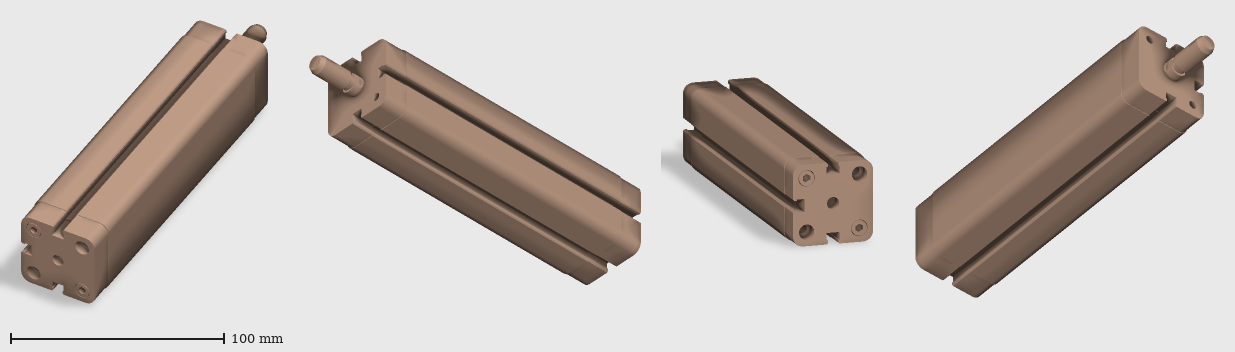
import cadquery as cq


width = 40.1
total_length = 192.0
rod_length = 27.3
body_length = total_length - rod_length
cap_length = 12.9
profile_length = body_length - 2 * cap_length
rear_cap_start = body_length - cap_length
cap_width = 39.5
cap_corner_radius = 5.0
profile_corner_radius = 4.8

slot_mouth = 5.2
mouth_chamfer = 0.5
slot_width = 6.3
slot_lip = 2.0
slot_floor = 14.8
cap_slot_floor = 14.2

corner_offset = 13.0
hole_diameter = 4.2
counterbore_diameter = 7.5
counterbore_depth = 6.0
screw_pocket_diameter = 8.0
screw_head_diameter = 7.5
screw_pocket_depth = 4.2
socket_corner_diameter = 4.2
socket_depth = 2.3
socket_turn = 90
centre_hole_diameter = 6.0
centre_hole_depth = 6.0

rod_diameter = 10.0
neck_diameter = 7.9
collar_length = 5.2
neck_length = 3.3
tip_chamfer_length = 2.5
tip_chamfer_height = 1.2
flat_length = 3.8


def front_plane(y):
    """XZ plane at the given Y whose extrusions run towards +Y."""
    return cq.Workplane(cq.Plane(origin=(0, y, 0), xDir=(-1, 0, 0), normal=(0, 1, 0)))


def cylinder(x, z, diameter, y, length):
    return front_plane(y).center(-x, z).circle(diameter / 2).extrude(length)


def bar(y, length, side, corner_radius):
    block = front_plane(y).rect(side, side).extrude(length)
    return block.edges("|Y").fillet(corner_radius)


def make_body():
    """Extruded profile between two caps that are slightly narrower."""
    body = bar(cap_length, profile_length, width, profile_corner_radius)
    body = body.union(bar(0, cap_length, cap_width, cap_corner_radius))
    return body.union(bar(rear_cap_start, cap_length, cap_width, cap_corner_radius))


def make_top_slot(y, length, face, floor):
    """T-shaped sensor slot in a +Z face, with chamfered mouth edges."""
    lip_end = face - slot_lip
    half_mouth = slot_mouth / 2
    half_width = slot_width / 2
    half_outline = [
        (half_mouth + mouth_chamfer, face),
        (half_mouth, face - mouth_chamfer),
        (half_mouth, lip_end),
        (half_width, lip_end),
        (half_width, floor),
    ]
    mirrored = [(-x, z) for x, z in reversed(half_outline)]
    return front_plane(y).polyline(half_outline + mirrored).close().extrude(length)


def make_screw(x, z):
    """Socket screw head, flush with the front face."""
    head = cylinder(x, z, screw_head_diameter, 0, screw_pocket_depth)
    socket = front_plane(0).polygon(6, socket_corner_diameter).extrude(socket_depth)
    socket = socket.rotate((0, 0, 0), (0, 1, 0), socket_turn).translate((x, 0, z))
    return head.cut(socket)


def make_rod():
    """Turned rod with a chamfered tip, a neck and two wrench flats on the collar."""
    rod_radius = rod_diameter / 2
    neck_radius = neck_diameter / 2
    neck_start = body_length + collar_length
    neck_end = neck_start + neck_length
    tip_start = total_length - tip_chamfer_length
    rod = (
        cq.Workplane("XY")
        .moveTo(0, body_length)
        .lineTo(rod_radius, body_length)
        .lineTo(rod_radius, neck_start)
        .lineTo(neck_radius, neck_start)
        .lineTo(neck_radius, neck_end)
        .lineTo(rod_radius, neck_end)
        .lineTo(rod_radius, tip_start)
        .lineTo(rod_radius - tip_chamfer_height, total_length)
        .lineTo(0, total_length)
        .close()
        .revolve(360, (0, 0, 0), (0, 1, 0))
    )
    flat_start = neck_start - flat_length
    runout = rod_radius - neck_radius
    flat_cut = (
        cq.Workplane("XY")
        .moveTo(neck_radius, neck_start)
        .lineTo(neck_radius, flat_start)
        .lineTo(neck_radius + runout, flat_start - runout)
        .lineTo(neck_radius + runout, neck_start)
        .close()
        .extrude(rod_radius, both=True)
    )
    return rod.cut(flat_cut).cut(flat_cut.mirror("YZ"))


result = make_body()

slot_sections = [
    make_top_slot(0, cap_length, cap_width / 2, cap_slot_floor),
    make_top_slot(cap_length, profile_length, width / 2, slot_floor),
    make_top_slot(rear_cap_start, cap_length, cap_width / 2, cap_slot_floor),
]
for turn in (0, -90, 180):
    for slot in slot_sections:
        result = result.cut(slot.rotate((0, 0, 0), (0, 1, 0), turn))

for side in (1, -1):
    position = side * corner_offset
    result = result.cut(cylinder(position, position, hole_diameter, 0, body_length))
    result = result.cut(cylinder(position, position, counterbore_diameter, 0, counterbore_depth))
    result = result.cut(cylinder(position, -position, screw_pocket_diameter, 0, screw_pocket_depth))
    result = result.union(make_screw(position, -position))

result = result.cut(cylinder(0, 0, centre_hole_diameter, 0, centre_hole_depth))
result = result.union(make_rod())